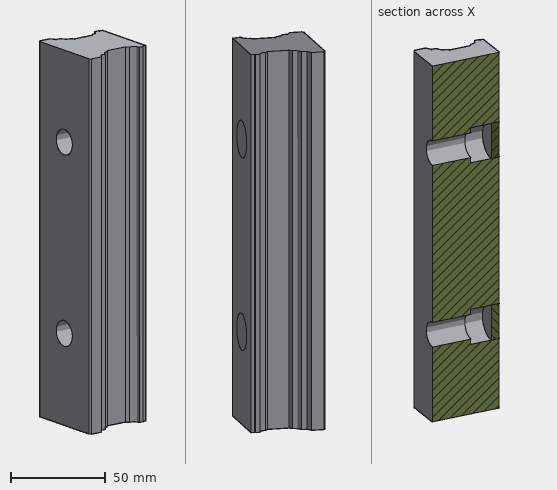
import cadquery as cq
import math

rail_length = 206.0
rail_height = 39.85
base_half_width = 22.5
base_chamfer = 1.0
base_side_top = 7.6
shoulder_bottom = 9.4
head_half_width = 19.5
neck_half_width = 14.5
neck_bottom = 17.8
neck_top = 29.6

groove_radius = 4.0
groove_center_x = 20.0
lower_groove_center_y = 16.4
upper_groove_center_y = 31.1
groove_inner_half_width = 16.0

step_bottom = 37.5
step_top = 38.0
top_half_width = 18.9

hole_pitch = 105.0
hole_diameter = 14.0
counterbore_diameter = 20.0
counterbore_depth = 17.0
cap_thickness = 5.0
end_to_first_hole = (rail_length - hole_pitch) / 2
hole_heights = [end_to_first_hole, end_to_first_hole + hole_pitch]


def groove_offset(x):
    """Distance along Y from a groove's centre to its arc at half-width x."""
    return math.sqrt(groove_radius**2 - (groove_center_x - x) ** 2)


def right_flank():
    """Half of the rail section, from the axis of symmetry out to the +X flank."""
    outer_offset = groove_offset(head_half_width)
    inner_offset = groove_offset(groove_inner_half_width)
    diagonal = groove_radius * math.sqrt(0.5)
    return (
        cq.Workplane("XY")
        .moveTo(0, 0)
        .lineTo(base_half_width - base_chamfer, 0)
        .lineTo(base_half_width, base_chamfer)
        .lineTo(base_half_width, base_side_top)
        .lineTo(head_half_width, shoulder_bottom)
        .lineTo(head_half_width, lower_groove_center_y - outer_offset)
        .threePointArc(
            (groove_center_x - diagonal, lower_groove_center_y - diagonal),
            (groove_inner_half_width, lower_groove_center_y - inner_offset),
        )
        .lineTo(neck_half_width, neck_bottom)
        .lineTo(neck_half_width, neck_top)
        .lineTo(groove_inner_half_width, upper_groove_center_y + inner_offset)
        .threePointArc(
            (groove_center_x - diagonal, upper_groove_center_y + diagonal),
            (head_half_width, upper_groove_center_y + outer_offset),
        )
        .lineTo(head_half_width, step_bottom)
        .lineTo(top_half_width, step_top)
        .lineTo(top_half_width, rail_height)
        .lineTo(0, rail_height)
        .close()
    )


def cylinder_along_y(diameter, y_start, y_end, z):
    """Cylinder on the rail's centre plane, running along +Y at height z."""
    solid = cq.Solid.makeCylinder(
        diameter / 2, y_end - y_start, cq.Vector(0, y_start, z), cq.Vector(0, 1, 0)
    )
    return cq.Workplane(obj=solid)


def make_rail():
    half = right_flank().extrude(rail_length)
    rail = half.union(half.mirror("YZ")).clean()
    counterbore_floor = rail_height - counterbore_depth
    for z in hole_heights:
        rail = rail.cut(cylinder_along_y(hole_diameter, 0, rail_height, z))
        rail = rail.cut(cylinder_along_y(counterbore_diameter, counterbore_floor, rail_height, z))
    return rail


def make_cap(z):
    """Plug that closes a counterbore flush with the top of the rail."""
    return cylinder_along_y(counterbore_diameter, rail_height - cap_thickness, rail_height, z)


rail = make_rail()
caps = [make_cap(z) for z in hole_heights]

result = cq.Compound.makeCompound([rail.val(), *[cap.val() for cap in caps]])